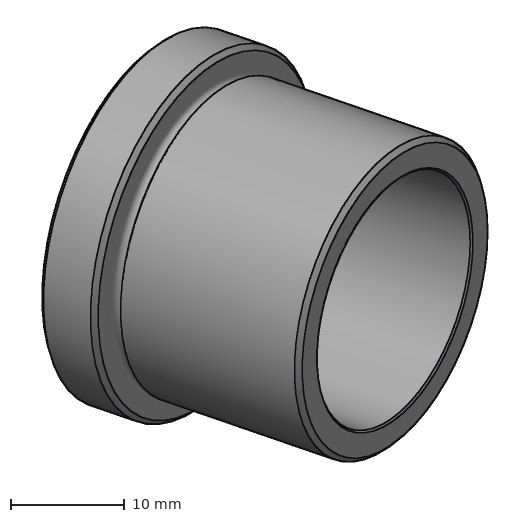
import cadquery as cq

length = 26.0
flange_diameter = 35.0
flange_width = 6.0
body_diameter = 30.0
bore_diameter = 24.0
edge_chamfer = 0.5
bore_chamfer = 0.18
groove_width = 1.0
groove_depth = groove_width / 2

flange_radius = flange_diameter / 2
body_radius = body_diameter / 2
bore_radius = bore_diameter / 2
body_start = flange_width + groove_width
groove_middle = (flange_width + body_start) / 2

half_section = (
    cq.Workplane("XY")
    .moveTo(0, bore_radius + bore_chamfer)
    .lineTo(0, flange_radius - edge_chamfer)
    .lineTo(edge_chamfer, flange_radius)
    .lineTo(flange_width - edge_chamfer, flange_radius)
    .lineTo(flange_width, flange_radius - edge_chamfer)
    .lineTo(flange_width, body_radius)
    .threePointArc((groove_middle, body_radius - groove_depth), (body_start, body_radius))
    .lineTo(length - edge_chamfer, body_radius)
    .lineTo(length, body_radius - edge_chamfer)
    .lineTo(length, bore_radius + bore_chamfer)
    .lineTo(length - bore_chamfer, bore_radius)
    .lineTo(bore_chamfer, bore_radius)
    .close()
)

result = half_section.revolve(360, (0, 0, 0), (1, 0, 0))